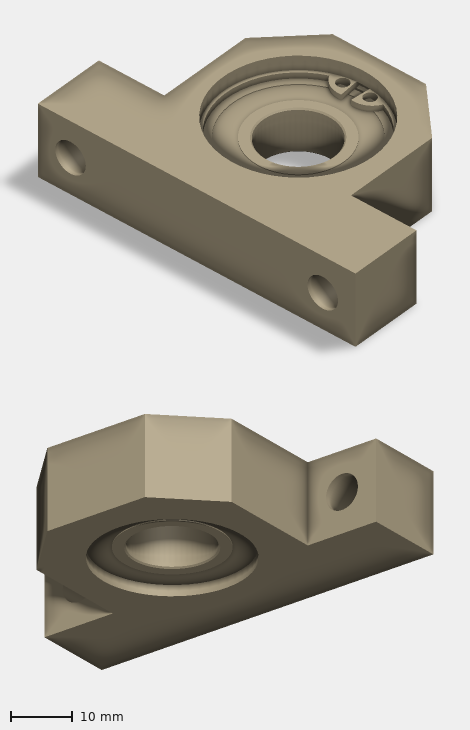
import cadquery as cq
import math

base_length = 68.0
base_depth = 15.0
thickness = 15.0
overall_depth = 45.0
tower_width = 40.0
corner_cut = 10.0
bolt_spacing = 54.0
bolt_diameter = 6.5

bearing_center = (0, overall_depth - tower_width / 2)
bearing_od = 32.0
bearing_bore = 15.0
bearing_width = 9.0
bearing_chamfer = 0.5
bore_chamfer = 0.3
inner_race_od = 19.5
outer_race_id = 27.95
shield_recess = 0.2

groove_diameter = 33.7
groove_top_depth = 2.9
groove_width = 1.3
ring_thickness = 1.2
ring_inner_diameter = 30.9
ring_gap_half_angle = math.radians(5.1)
lug_inner_radius = 11.8
lug_arc_middle = (4.35, 12.65)
lug_outer_end = (5.8, 14.35)
plier_hole_diameter = 2.5
plier_hole_offset_x = 2.9
plier_hole_offset_y = 14.35

groove_bottom = thickness - groove_top_depth - groove_width
bearing_top = groove_bottom
bearing_bottom = bearing_top - bearing_width


def disc(diameter, bottom, height):
    """Vertical cylinder on the bearing axis."""
    plane = cq.Workplane("XY", origin=(*bearing_center, bottom))
    return plane.circle(diameter / 2).extrude(height)


def tube(outer_diameter, inner_diameter, bottom, height):
    return disc(outer_diameter, bottom, height).cut(disc(inner_diameter, bottom, height))


def make_housing():
    base = cq.Workplane("XY").box(base_length, base_depth, thickness, centered=(True, False, False))
    tower = (
        cq.Workplane("XY")
        .box(tower_width, overall_depth, thickness, centered=(True, False, False))
        .edges("|Z and >Y")
        .chamfer(corner_cut)
    )
    housing = base.union(tower)

    housing = housing.cut(disc(bearing_od, bearing_bottom, thickness - bearing_bottom))
    housing = housing.cut(disc(outer_race_id, 0, bearing_bottom))
    housing = housing.cut(disc(groove_diameter, groove_bottom, groove_width))

    bolt_holes = (
        cq.Workplane("XZ", origin=(0, 0, thickness / 2))
        .pushPoints([(-bolt_spacing / 2, 0), (bolt_spacing / 2, 0)])
        .circle(bolt_diameter / 2)
        .extrude(-base_depth)
    )
    return housing.cut(bolt_holes)


def make_bearing():
    bearing = disc(bearing_od, bearing_bottom, bearing_width).faces("<Z or >Z").chamfer(bearing_chamfer)
    bore = disc(bearing_bore, bearing_bottom, bearing_width)
    bearing = bearing.cut(bore)
    bearing = bearing.edges(cq.selectors.RadiusNthSelector(0)).chamfer(bore_chamfer)

    for recess_bottom in (bearing_bottom, bearing_top - shield_recess):
        bearing = bearing.cut(tube(outer_race_id, inner_race_od, recess_bottom, shield_recess))
    return bearing


def make_retaining_ring():
    ring = tube(groove_diameter, ring_inner_diameter, groove_bottom, ring_thickness)
    plane = cq.Workplane("XY", origin=(*bearing_center, groove_bottom))

    bore_limit = disc(bearing_od, groove_bottom, ring_thickness)
    for side in (-1, 1):
        lug = (
            plane.moveTo(0, lug_inner_radius)
            .lineTo(side * lug_inner_radius * math.tan(ring_gap_half_angle), lug_inner_radius)
            .threePointArc(
                (side * lug_arc_middle[0], lug_arc_middle[1]),
                (side * lug_outer_end[0], lug_outer_end[1]),
            )
            .lineTo(side * lug_outer_end[0], bearing_od / 2)
            .lineTo(0, bearing_od / 2)
            .close()
            .extrude(ring_thickness)
        )
        ring = ring.union(lug.intersect(bore_limit))

    gap_half_width = groove_diameter * math.tan(ring_gap_half_angle)
    gap = (
        plane.polyline([(0, 0), (gap_half_width, groove_diameter), (-gap_half_width, groove_diameter)])
        .close()
        .extrude(ring_thickness)
    )
    plier_holes = (
        plane.pushPoints([(side * plier_hole_offset_x, plier_hole_offset_y) for side in (-1, 1)])
        .circle(plier_hole_diameter / 2)
        .extrude(ring_thickness)
    )
    return ring.cut(gap).cut(plier_holes)


housing = make_housing()
bearing = make_bearing()
retaining_ring = make_retaining_ring()

result = cq.Compound.makeCompound([housing.val(), bearing.val(), retaining_ring.val()])